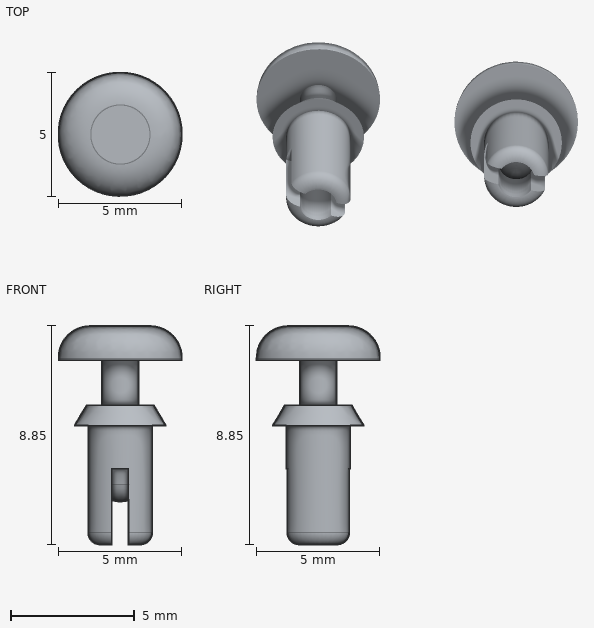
import cadquery as cq

TOTAL_HEIGHT = 8.85

HEAD_DIAMETER = 5.0
HEAD_HEIGHT = 1.39
HEAD_ROUNDING = 1.3
SHANK_DIAMETER = 1.49
SHANK_TIP_Z = 1.74
SHANK_TIP_ROUNDING = 0.69

SLEEVE_DIAMETER = 2.6
SLEEVE_TIP_ROUNDING = 0.505
BORE_DIAMETER = 1.5
COLLAR_BOTTOM_DIAMETER = 3.7
COLLAR_TOP_DIAMETER = 2.71
COLLAR_BOTTOM_Z = 4.81
COLLAR_HEIGHT = 0.83
SLOT_WIDTH = 0.66
SLOT_HEIGHT = 3.06

HEAD_BOTTOM_Z = TOTAL_HEIGHT - HEAD_HEIGHT
COLLAR_TOP_Z = COLLAR_BOTTOM_Z + COLLAR_HEIGHT


def cylinder(diameter, bottom_z, top_z):
    """Upright cylinder centred on the Z axis."""
    return (
        cq.Workplane("XY")
        .workplane(offset=bottom_z)
        .circle(diameter / 2)
        .extrude(top_z - bottom_z)
    )


def make_pin():
    """Domed head and the shank that runs down into the sleeve."""
    head = cylinder(HEAD_DIAMETER, HEAD_BOTTOM_Z, TOTAL_HEIGHT)
    head = head.faces(">Z").edges().fillet(HEAD_ROUNDING)
    shank = cylinder(SHANK_DIAMETER, SHANK_TIP_Z, HEAD_BOTTOM_Z)
    shank = shank.faces("<Z").edges().fillet(SHANK_TIP_ROUNDING)
    return head.union(shank)


def make_collar():
    """Cone frustum that narrows upwards, at the top of the sleeve."""
    return (
        cq.Workplane("XY")
        .workplane(offset=COLLAR_BOTTOM_Z)
        .circle(COLLAR_BOTTOM_DIAMETER / 2)
        .workplane(offset=COLLAR_HEIGHT)
        .circle(COLLAR_TOP_DIAMETER / 2)
        .loft(ruled=True)
    )


def make_sleeve():
    """Collared tube, open at both ends, with its lower end split along Y."""
    tube = cylinder(SLEEVE_DIAMETER, 0, COLLAR_BOTTOM_Z)
    tube = tube.faces("<Z").edges().fillet(SLEEVE_TIP_ROUNDING)
    bore = cylinder(BORE_DIAMETER, 0, COLLAR_TOP_Z)
    slot = cq.Workplane("XY").box(
        SLOT_WIDTH, SLEEVE_DIAMETER, SLOT_HEIGHT, centered=(True, True, False)
    )
    return tube.union(make_collar()).cut(bore).cut(slot)


pin = make_pin()
sleeve = make_sleeve()

result = cq.Compound.makeCompound([pin.val(), sleeve.val()])